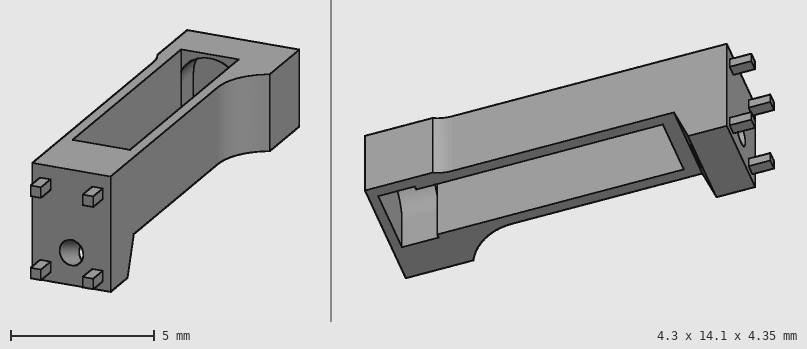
import cadquery as cq
import math

shank_width = 3.0
body_length = 13.3
body_height = 2.9

total_height = 4.35
foot_length = 1.43
foot_root_length = 1.955

head_length = 2.5
head_left_step = 0.15
head_right_step = 1.15
left_blend_radius = 1.5
right_blend_radius = 2.0

window_width = 2.2
window_length = 9.1
window_front = 2.5

recess_radius = 1.25
recess_depth = 1.35
recess_roof = 0.15

hole_diameter = 0.9
hole_height = 1.225

pin_size = 0.4
pin_length = 0.8
pin_pitch_x = 2.0
pin_pitch_z = 3.1
pin_top_offset = 0.7

half_shank = shank_width / 2
head_front = body_length - head_length
foot_drop = total_height - body_height
foot_slope = math.atan2(foot_root_length - foot_length, foot_drop)


def blend_points(side, step, blend_radius):
    """Tangent point, mid point and head corner of the arc on one side (-1 left, +1 right)."""
    sweep = math.acos(1 - step / blend_radius)
    centre_y = head_front - blend_radius * math.sin(sweep)

    def on_arc(angle):
        x = half_shank + blend_radius * (1 - math.cos(angle))
        y = centre_y + blend_radius * math.sin(angle)
        return (side * x, y)

    return on_arc(0), on_arc(sweep / 2), on_arc(sweep)


def make_body():
    right_start, right_mid, right_corner = blend_points(1, head_right_step, right_blend_radius)
    left_start, left_mid, left_corner = blend_points(-1, head_left_step, left_blend_radius)
    return (
        cq.Workplane("XY")
        .moveTo(-half_shank, 0)
        .lineTo(half_shank, 0)
        .lineTo(*right_start)
        .threePointArc(right_mid, right_corner)
        .lineTo(right_corner[0], body_length)
        .lineTo(left_corner[0], body_length)
        .lineTo(*left_corner)
        .threePointArc(left_mid, left_start)
        .close()
        .extrude(-body_height)
    )


def make_foot():
    return (
        cq.Workplane("YZ")
        .polyline([
            (0, 0),
            (foot_root_length, 0),
            (foot_root_length, -body_height),
            (foot_length, -total_height),
            (0, -total_height),
        ])
        .close()
        .extrude(half_shank, both=True)
    )


def make_window():
    return (
        cq.Workplane("XY")
        .center(0, window_front + window_length / 2)
        .rect(window_width, window_length)
        .extrude(-body_height)
    )


def make_recess():
    window_rear = window_front + window_length
    spring_line = -recess_roof - recess_radius
    return (
        cq.Workplane("XZ", origin=(0, window_rear, 0))
        .moveTo(-recess_radius, -body_height)
        .lineTo(-recess_radius, spring_line)
        .threePointArc((0, -recess_roof), (recess_radius, spring_line))
        .lineTo(recess_radius, -body_height)
        .close()
        .extrude(-recess_depth)
    )


def make_hole():
    """Cylinder running down and rearward through the foot, overlong at both ends."""
    axis = cq.Vector(0, math.cos(foot_slope), -math.sin(foot_slope))
    entry = cq.Vector(0, 0, hole_height - total_height)
    overrun = hole_diameter
    start = entry - axis * overrun
    length = foot_root_length + 2 * overrun
    return cq.Workplane(cq.Solid.makeCylinder(hole_diameter / 2, length, start, axis))


def make_pins():
    pin_centre_z = -pin_top_offset - pin_pitch_z / 2
    return (
        cq.Workplane("XZ", origin=(0, 0, pin_centre_z))
        .rarray(pin_pitch_x, pin_pitch_z, 2, 2)
        .rect(pin_size, pin_size)
        .extrude(pin_length)
    )


result = (
    make_body()
    .union(make_foot())
    .cut(make_window())
    .cut(make_recess())
    .cut(make_hole())
    .union(make_pins())
)